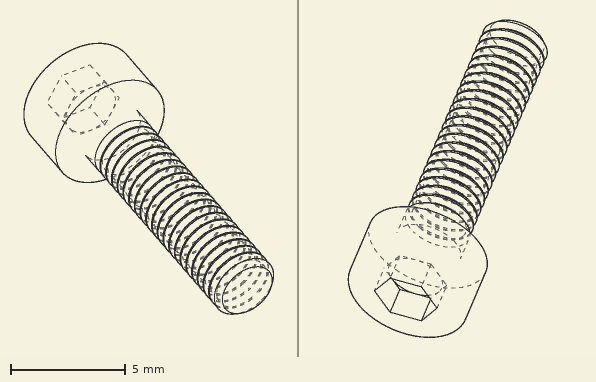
import cadquery as cq
import math

total_length = 15.0
head_radius = 5.5 / 2
head_length = 3.0
head_edge_radius = 0.3

socket_across_flats = 2.5
socket_depth = 1.3
cone_half_angle = 60.0

thread_radius = 1.5
thread_pitch = total_length / 30
thread_depth = 0.24
crest_width = 0.08
groove_count = 21
neck_fillet_radius = 0.09


def make_head():
    head = cq.Workplane("YZ").circle(head_radius).extrude(head_length)
    return head.faces("<X").edges().fillet(head_edge_radius)


def make_threaded_shank():
    """Revolve the neck fillet, the shank, the thread grooves and the tip as one profile."""
    half_groove = (thread_pitch - crest_width) / 2
    root_radius = thread_radius - thread_depth
    neck_radius = thread_radius + neck_fillet_radius
    neck_end_x = head_length + neck_fillet_radius
    arc_offset = neck_fillet_radius * (1 - math.sqrt(0.5))
    arc_middle = (head_length + arc_offset, thread_radius + arc_offset)

    profile = (
        cq.Workplane("XY")
        .lineTo(0, neck_radius)
        .lineTo(head_length, neck_radius)
        .threePointArc(arc_middle, (neck_end_x, thread_radius))
    )
    for index in range(groove_count, 0, -1):
        groove_x = total_length - index * thread_pitch
        profile = profile.lineTo(groove_x - half_groove, thread_radius)
        profile = profile.lineTo(groove_x, root_radius)
        profile = profile.lineTo(groove_x + half_groove, thread_radius)

    profile = profile.lineTo(total_length, root_radius).lineTo(total_length, 0).close()
    return profile.revolve(360, (0, 0, 0), (1, 0, 0))


def make_socket():
    """Hexagon with corners on +Y and -Y, ending in a drill cone."""
    cone_radius = socket_across_flats / 2
    corner_diameter = socket_across_flats / math.cos(math.radians(30))
    hexagon = cq.Workplane("YZ").polygon(6, corner_diameter).extrude(socket_depth)
    cone_depth = cone_radius / math.tan(math.radians(cone_half_angle))
    cone = cq.Solid.makeCone(
        cone_radius, 0, cone_depth, cq.Vector(socket_depth, 0, 0), cq.Vector(1, 0, 0)
    )
    return hexagon.union(cq.Workplane(cone))


result = make_head().union(make_threaded_shank()).cut(make_socket())